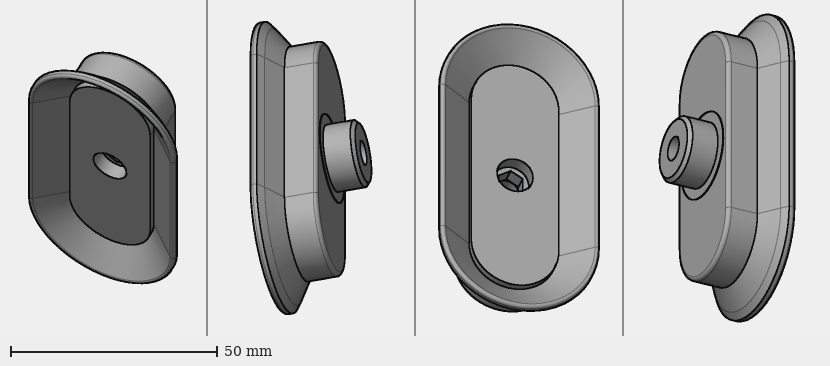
import cadquery as cq
import math

straight = 40.0
rim_width = 40.0
rim_round = 0.7
rim_depth = 1.8
flare_break_width = 36.3
flare_break_depth = 3.2
flare_depth = 6.8
body_width = 26.0
body_back = 15.0
body_round = 1.0

island_width = 22.0
island_depth = 4.8
wall_foot_depth = flare_depth

boss_diameter = 16.6
boss_back = 23.0
boss_chamfer = 1.0
pad_diameter = 22.0
pad_height = 0.2

counterbore_diameter = 9.0
counterbore_depth = 4.0
hex_flats = 6.1
hex_depth = 4.0
bore_diameter = 6.0


def at_depth(depth):
    """Workplane at Y = depth, facing +Y, with its local x along Z."""
    return cq.Workplane(cq.Plane(origin=(0, depth, 0), xDir=(0, 0, 1), normal=(0, 1, 0)))


def cylinder(diameter, start, end):
    return at_depth(start).circle(diameter / 2).extrude(end - start)


def half_section():
    """Closed half section of the cup in XY, on the +X side of the Y axis."""
    round_x = rim_width / 2 - rim_round
    run = round_x - island_width / 2
    rise = wall_foot_depth - rim_round
    slope = math.atan2(rise, run) + math.asin(rim_round / math.hypot(run, rise))
    wall_top = (round_x - rim_round * math.sin(slope), rim_round - rim_round * math.cos(slope))
    return (
        cq.Workplane("XY")
        .moveTo(0, island_depth)
        .lineTo(island_width / 2, island_depth)
        .lineTo(island_width / 2, wall_foot_depth)
        .lineTo(*wall_top)
        .threePointArc((round_x, 0), (rim_width / 2, rim_round))
        .lineTo(rim_width / 2, rim_depth)
        .lineTo(flare_break_width / 2, flare_break_depth)
        .lineTo(body_width / 2, flare_depth)
        .lineTo(body_width / 2, body_back - body_round)
        .radiusArc((body_width / 2 - body_round, body_back), -body_round)
        .lineTo(0, body_back)
        .close()
    )


def make_cup():
    """Half section extruded along both straight sides and revolved around each end."""
    side = half_section().extrude(straight / 2, both=True)
    cup = side.union(side.mirror("YZ"))
    round_end = half_section().revolve(360, (0, 0, 0), (0, 1, 0))
    for direction in (-1, 1):
        outer_half = cq.Workplane("XY").box(rim_width, 2 * body_back, rim_width / 2)
        outer_half = outer_half.translate((0, 0, direction * rim_width / 4))
        end = round_end.intersect(outer_half)
        cup = cup.union(end.translate((0, 0, direction * straight / 2)))
    return cup


def make_boss():
    pad = cylinder(pad_diameter, body_back, body_back + pad_height)
    boss = cylinder(boss_diameter, body_back, boss_back).faces(">Y").edges().chamfer(boss_chamfer)
    return pad.union(boss)


def make_centre_hole():
    hex_start = island_depth + counterbore_depth
    hex_end = hex_start + hex_depth
    counterbore = cylinder(counterbore_diameter, island_depth, hex_start)
    hexagon = at_depth(hex_start).polygon(6, hex_flats / math.cos(math.pi / 6))
    socket = hexagon.extrude(hex_depth)
    bore = cylinder(bore_diameter, hex_end, boss_back)
    return counterbore.union(socket).union(bore)


result = make_cup().union(make_boss()).cut(make_centre_hole())